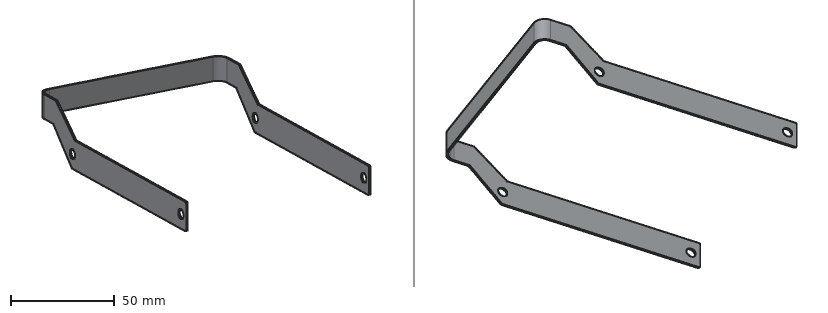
import cadquery as cq

LENGTH = 139.05
WIDTH = 103.5
HEIGHT = 30.0
THICKNESS = 1.0
BEND_RADIUS = 6.0

BAND_HEIGHT = 12.5
ARM_HEIGHT = 15.0
UPPER_SLOPE_START = 16.9
UPPER_SLOPE_END = 34.8
LOWER_SLOPE_START = 14.5
LOWER_SLOPE_RUN = HEIGHT - BAND_HEIGHT
TIP_RADIUS = 1.0

HOLE_DIAMETER = 5.0
HOLE_END_DISTANCE = 5.0
HOLE_SPACING = 101.6


def bent_strip():
    """Full-height U-shaped wall, closed at X = 0 and open at X = LENGTH."""
    inner_length = LENGTH - THICKNESS
    inner_width = WIDTH - 2 * THICKNESS
    outer = (
        cq.Workplane("XY")
        .box(LENGTH, WIDTH, HEIGHT, centered=(False, True, False))
        .edges("|Z and <X")
        .fillet(BEND_RADIUS)
    )
    inner = (
        cq.Workplane("XY")
        .box(inner_length, inner_width, HEIGHT, centered=(False, True, False))
        .edges("|Z and <X")
        .fillet(BEND_RADIUS - THICKNESS)
        .translate((THICKNESS, 0, 0))
    )
    return outer.cut(inner)


def side_profile():
    """Stepped arm outline in XZ, extended across the full width."""
    band_bottom = HEIGHT - BAND_HEIGHT
    outline = [
        (0, HEIGHT),
        (UPPER_SLOPE_START, HEIGHT),
        (UPPER_SLOPE_END, ARM_HEIGHT),
        (LENGTH, ARM_HEIGHT),
        (LENGTH, 0),
        (LOWER_SLOPE_START + LOWER_SLOPE_RUN, 0),
        (LOWER_SLOPE_START, band_bottom),
        (0, band_bottom),
    ]
    return (
        cq.Workplane("XZ")
        .polyline(outline)
        .close()
        .extrude(WIDTH / 2, both=True)
        .edges("|Y and >X")
        .fillet(TIP_RADIUS)
    )


def mounting_holes():
    """Two cylinders along Y, each passing through both arms."""
    end_hole_x = LENGTH - HOLE_END_DISTANCE
    hole_z = ARM_HEIGHT / 2
    centers = [(end_hole_x - HOLE_SPACING, hole_z), (end_hole_x, hole_z)]
    return (
        cq.Workplane("XZ")
        .pushPoints(centers)
        .circle(HOLE_DIAMETER / 2)
        .extrude(WIDTH, both=True)
    )


result = bent_strip().intersect(side_profile()).cut(mounting_holes())